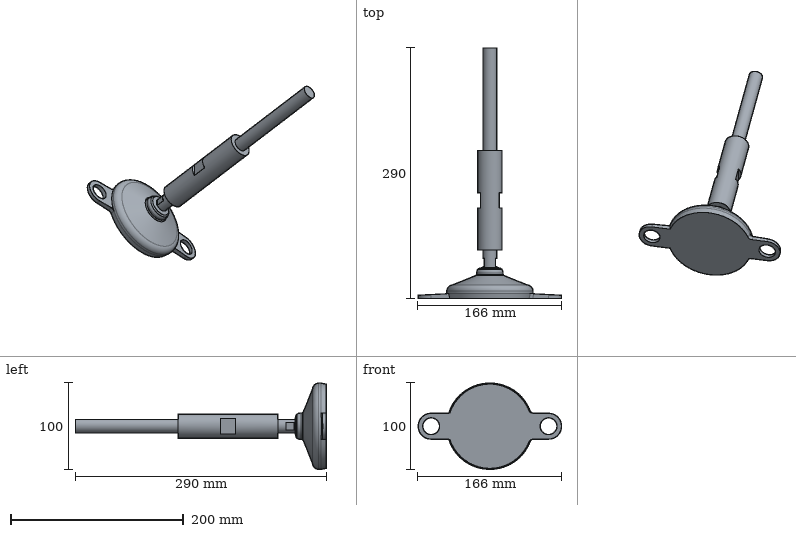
import cadquery as cq
import math


total_height = 290.0
foot_height = 36.2
sleeve_bottom = 56.0
sleeve_length = 115.5
sleeve_top = sleeve_bottom + sleeve_length

foot_radius = 100.0 / 2
foot_bottom_radius = 48.7
rim_bottom = 6.0
rim_top = 9.0
rim_bulge = 1.7
cone_bottom = 16.0
cone_bottom_radius = 43.2
cone_top = 26.7
cone_top_radius = 16.5

collar_radius = 15.5
collar_bottom = 28.0
collar_band_top = 30.0
collar_shoulder_height = 33.5
collar_shoulder_radius = 14.2
collar_bulge = 0.3
collar_lip_height = 35.0
collar_lip_radius = 12.5

tab_reach = 166.0 / 2
tab_radius = 15.0
tab_hole_diameter = 19.0
tab_hole_x = tab_reach - tab_radius
tab_tip_thickness = 4.0
tab_root_thickness = 6.0
tab_root_x = 43.5
tab_corner_fillet = 4.4

rod_diameter = 16.0
sleeve_diameter = 28.0
sleeve_flat_length = 17.5
sleeve_across_flats = 22.0
neck_flat_bottom = 37.0
neck_flat_length = 9.5
neck_across_flats = 13.0


def bulge_point(lower, upper, bulge):
    """Middle of an arc that bulges up and outwards between a wide lower and a narrow upper point."""
    inset = lower[0] - upper[0]
    rise = upper[1] - lower[1]
    chord = math.hypot(inset, rise)
    radius = (lower[0] + upper[0]) / 2 + bulge * rise / chord
    height = (lower[1] + upper[1]) / 2 + bulge * inset / chord
    return radius, height


def rod(diameter, bottom, top):
    """Cylinder along Y between two heights."""
    height = top - bottom
    return cq.Workplane("XZ", origin=(0, bottom, 0)).circle(diameter / 2).extrude(-height)


def make_foot_body():
    """Revolved foot: tapered underside, rounded rim, cone and collar."""
    rim = (foot_radius, rim_top)
    cone_start = (cone_bottom_radius, cone_bottom)
    band = (collar_radius, collar_band_top)
    shoulder = (collar_shoulder_radius, collar_shoulder_height)
    profile = (
        cq.Workplane("XY")
        .moveTo(0, 0)
        .lineTo(foot_bottom_radius, 0)
        .lineTo(foot_radius, rim_bottom)
        .lineTo(*rim)
        .threePointArc(bulge_point(rim, cone_start, rim_bulge), cone_start)
        .lineTo(cone_top_radius, cone_top)
        .lineTo(collar_radius, collar_bottom)
        .lineTo(*band)
        .threePointArc(bulge_point(band, shoulder, collar_bulge), shoulder)
        .lineTo(collar_lip_radius, collar_lip_height)
        .lineTo(rod_diameter / 2, foot_height)
        .lineTo(0, foot_height)
        .close()
    )
    return profile.revolve(360, (0, 0, 0), (0, 1, 0))


def make_tab():
    """Tab on the +X side: round-ended, thinner towards its tip, with a bolt hole."""
    side_profile = (
        cq.Workplane("XY")
        .polyline([(0, 0), (tab_reach, 0), (tab_reach, tab_tip_thickness),
                   (tab_root_x, tab_root_thickness), (0, tab_root_thickness)])
        .close()
        .extrude(tab_radius, both=True)
    )
    outline = (
        cq.Workplane("XZ")
        .moveTo(0, -tab_radius)
        .lineTo(tab_hole_x, -tab_radius)
        .threePointArc((tab_reach, 0), (tab_hole_x, tab_radius))
        .lineTo(0, tab_radius)
        .close()
        .extrude(-foot_height)
    )
    hole = rod(tab_hole_diameter, 0, foot_height).translate((tab_hole_x, 0, 0))
    return side_profile.intersect(outline).cut(hole)


def make_foot():
    """Complete foot with both tabs; the corners beside the +X tab are rounded."""
    tab = make_tab()
    foot = make_foot_body().union(tab)
    corner_x = math.sqrt(foot_bottom_radius**2 - tab_radius**2)
    reach = tab_corner_fillet
    for side in (-1, 1):
        corner_edges = cq.selectors.BoxSelector(
            (corner_x - reach, 0, side * tab_radius - reach),
            (corner_x + reach, rim_bottom, side * tab_radius + reach),
        )
        foot = foot.edges(corner_edges).fillet(tab_corner_fillet)
    return foot.union(tab.mirror("YZ"))


def cut_flats(shaft, across_flats, bottom, length):
    """Cut a pair of wrench flats facing -X and +X."""
    depth = sleeve_diameter
    for side in (-1, 1):
        cutter = (
            cq.Workplane("XY")
            .box(depth, length, sleeve_diameter)
            .translate((side * (across_flats + depth) / 2, bottom + length / 2, 0))
        )
        shaft = shaft.cut(cutter)
    return shaft


def make_spindle():
    """Rod with a thick sleeve section, and wrench flats on the sleeve and on the neck below it."""
    spindle = rod(rod_diameter, foot_height, total_height)
    spindle = spindle.union(rod(sleeve_diameter, sleeve_bottom, sleeve_top))
    sleeve_flat_bottom = (sleeve_bottom + sleeve_top - sleeve_flat_length) / 2
    spindle = cut_flats(spindle, sleeve_across_flats, sleeve_flat_bottom, sleeve_flat_length)
    return cut_flats(spindle, neck_across_flats, neck_flat_bottom, neck_flat_length)


foot = make_foot()
spindle = make_spindle()
result = cq.Compound.makeCompound([foot.solids().val(), spindle.solids().val()])